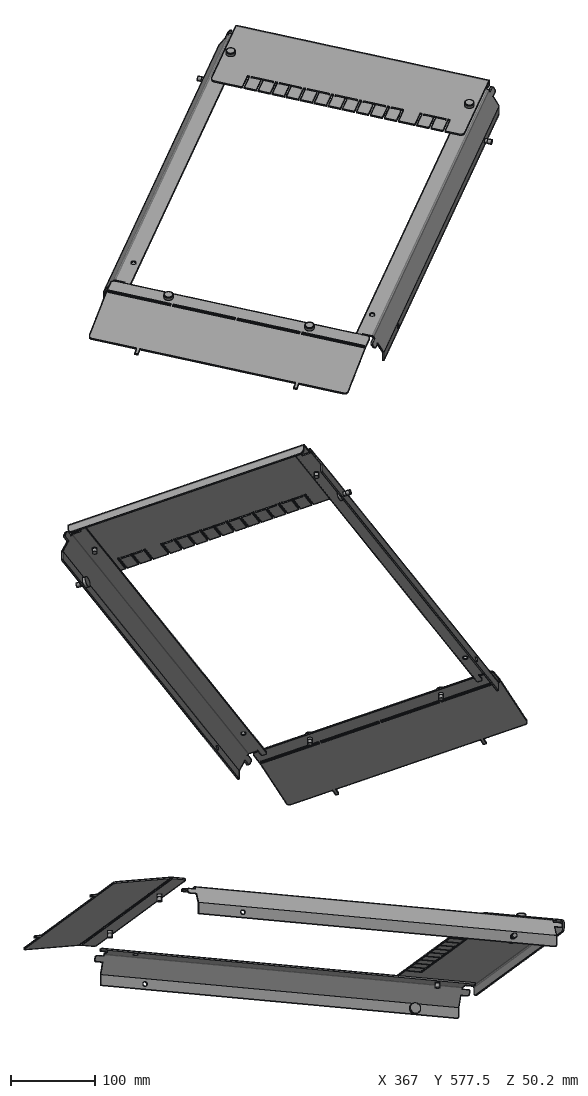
import cadquery as cq
import math

SHEET = 2.0
OVERALL_LENGTH = 577.45
OVERALL_HEIGHT = 50.25

SCREW_DIA = 6.0
SCREW_TIP_DIA = 5.6
SCREW_LENGTH = 15.0
SCREW_TIP_LENGTH = 5.0
HEAD_DIA = 11.4
HEAD_HEIGHT = 4.8
HEAD_CHAMFER = 0.8

RAIL_LENGTH = 452.0
RAIL_TOP = 36.5
RAIL_INNER_X = 141.0
RAIL_OUTER_X = 175.0
RAIL_SKIRT = 13.5
RAIL_LEAN = 30.0
RAIL_CORNER = 2.0
RAIL_BEND_INSIDE = 0.3
RAIL_HOLE_X = 149.0
RAIL_HOLE_Y = 190.5

TAB_LENGTH = 10.4
TAB_ROUND = 2.0
TOP_TAB_WIDTH = 7.5
SIDE_TAB_LOW = 26.5
SIDE_TAB_HIGH = 33.0

PIN_Y = 170.0
PIN_Z = 6.6
PIN_DIA = 5.4
PIN_TIP_DIA = 5.8
PIN_END_X = 183.5
PIN_TIP_LENGTH = 5.0
PIN_HEAD_DIA = 13.0
PIN_HEAD_THICKNESS = 3.8

PLATE_WIDTH = 316.0
PLATE_REAR_Y = 241.5
PLATE_FRONT_Y = 139.0
PLATE_TOP = RAIL_TOP + SHEET
PLATE_FLANGE_BOTTOM = 24.6
PLATE_CORNER = 5.0
PLATE_BEND_INSIDE = 1.5

FINGER_PITCH = 17.5
FINGER_SLOT_WIDTH = 2.4
FINGER_LENGTH = 19.7
FINGER_BRIDGE = 2.5
SLOT_GROUPS = ((-117.0, 12), (98.5, 3))

FLAP_WIDTH = 323.0
FLAP_REAR_Y = -237.0
FLAP_BEND_Y = -256.0
FLAP_END_Y = -328.0
FLAP_TAB_END_Y = PLATE_REAR_Y - OVERALL_LENGTH
FLAP_SLOPE = 9.7
FLAP_TOP = OVERALL_HEIGHT - HEAD_HEIGHT
FLAP_CORNER = 4.0
FLAP_TAB_X = 99.2
FLAP_TAB_WIDTH = 4.0
FLAP_SCREW_X = 88.0
FLAP_SCREW_Y = -244.7
FLAP_SLITS = 4
FLAP_SLIT_WIDTH = 3.5
FLAP_BRIDGE = 3.0
FLAP_SLIT_MARGIN = 2.0


def box(x0, x1, y0, y1, z0, z1):
    """Axis-aligned box between the given limits."""
    return cq.Workplane("XY").box(x1 - x0, y1 - y0, z1 - z0, centered=False).translate((x0, y0, z0))


def cylinder(x, y, z0, z1, diameter):
    """Upright cylinder from z0 to z1."""
    return cq.Workplane("XY", origin=(x, y, z0)).circle(diameter / 2).extrude(z1 - z0)


def mirrored(body):
    """The copy of a left-hand body on the right-hand side."""
    return body.mirror("YZ")


def make_rail():
    """Left rail: level top strip, leaning side and upright skirt, with two tabs at each end."""
    lean = math.radians(RAIL_LEAN)
    top_bend_x = -RAIL_OUTER_X + (RAIL_TOP - RAIL_SKIRT) * math.tan(lean)
    inner_top_x = top_bend_x + SHEET * math.tan((math.pi / 2 - lean) / 2)
    inner_skirt_z = RAIL_SKIRT - SHEET * math.tan(lean / 2)
    half = RAIL_LENGTH / 2
    reach = half + TAB_LENGTH
    rail = (
        cq.Workplane("XZ", origin=(0, reach, 0))
        .moveTo(-RAIL_INNER_X, RAIL_TOP)
        .lineTo(top_bend_x, RAIL_TOP)
        .lineTo(-RAIL_OUTER_X, RAIL_SKIRT)
        .lineTo(-RAIL_OUTER_X, 0)
        .lineTo(-RAIL_OUTER_X + SHEET, 0)
        .lineTo(-RAIL_OUTER_X + SHEET, inner_skirt_z)
        .lineTo(inner_top_x, RAIL_TOP - SHEET)
        .lineTo(-RAIL_INNER_X, RAIL_TOP - SHEET)
        .close()
        .extrude(2 * reach)
    )
    outer_bend = cq.selectors.NearestToPointSelector((top_bend_x, 0, RAIL_TOP))
    rail = rail.edges(outer_bend).fillet(RAIL_BEND_INSIDE + SHEET)
    inner_bend = cq.selectors.NearestToPointSelector((inner_top_x, 0, RAIL_TOP - SHEET))
    rail = rail.edges(inner_bend).fillet(RAIL_BEND_INSIDE)

    for end, tip in ((1, ">Y"), (-1, "<Y")):
        near, far = sorted((end * half, end * reach))
        waste = box(-RAIL_OUTER_X, -RAIL_INNER_X, near, far, 0, RAIL_TOP)
        top_tab = box(
            -RAIL_INNER_X - TOP_TAB_WIDTH, -RAIL_INNER_X, near, far, RAIL_TOP - SHEET, RAIL_TOP
        )
        side_tab = box(-RAIL_OUTER_X, inner_top_x, near, far, SIDE_TAB_LOW, SIDE_TAB_HIGH)
        waste = waste.cut(top_tab.faces(tip).edges("|Z").fillet(TAB_ROUND))
        waste = waste.cut(side_tab.faces(tip).edges("|X").fillet(TAB_ROUND))
        rail = rail.cut(waste)
        rail = rail.cut(cylinder(-RAIL_HOLE_X, end * RAIL_HOLE_Y, 0, RAIL_TOP, SCREW_DIA))
        pin_hole = cq.Workplane("YZ", origin=(-RAIL_OUTER_X, end * PIN_Y, PIN_Z))
        rail = rail.cut(pin_hole.circle(PIN_DIA / 2).extrude(SHEET))
    rear_bottom_corner = cq.selectors.NearestToPointSelector((-RAIL_OUTER_X + SHEET / 2, half, 0))
    return rail.edges(rear_bottom_corner).fillet(RAIL_CORNER)


def make_pin():
    """Left pin: stepped shank through the skirt, with a flat head against its inner face."""
    end = cq.Workplane("YZ", origin=(-PIN_END_X, PIN_Y, PIN_Z))
    skirt_inner_x = -RAIL_OUTER_X + SHEET
    tip = end.circle(PIN_TIP_DIA / 2).extrude(PIN_TIP_LENGTH)
    shank = (
        end.workplane(offset=PIN_TIP_LENGTH)
        .circle(PIN_DIA / 2)
        .extrude(skirt_inner_x + PIN_END_X - PIN_TIP_LENGTH)
    )
    head = (
        end.workplane(offset=skirt_inner_x + PIN_END_X)
        .circle(PIN_HEAD_DIA / 2)
        .extrude(PIN_HEAD_THICKNESS)
    )
    return tip.union(shank).union(head)


def make_screw(x, y, seat_z):
    """Screw with a chamfered round head resting on seat_z and a slightly stepped shank."""
    head_top = seat_z + HEAD_HEIGHT
    shank_end = head_top - SCREW_LENGTH
    head = cylinder(x, y, seat_z, head_top, HEAD_DIA).faces(">Z").chamfer(HEAD_CHAMFER)
    shank = cylinder(x, y, shank_end + SCREW_TIP_LENGTH, seat_z, SCREW_DIA)
    tip = cylinder(x, y, shank_end, shank_end + SCREW_TIP_LENGTH, SCREW_TIP_DIA)
    return head.union(shank).union(tip)


def make_rear_plate():
    """Level plate with a downturned rear flange and a row of fingers along its front edge."""
    half = PLATE_WIDTH / 2
    plate = box(-half, half, PLATE_FRONT_Y, PLATE_REAR_Y, PLATE_FLANGE_BOTTOM, PLATE_TOP)
    plate = plate.edges(">Y and >Z").fillet(PLATE_BEND_INSIDE + SHEET)
    below = box(
        -half, half, PLATE_FRONT_Y, PLATE_REAR_Y - SHEET, PLATE_FLANGE_BOTTOM, PLATE_TOP - SHEET
    )
    plate = plate.cut(below.edges(">Y and >Z").fillet(PLATE_BEND_INSIDE))
    plate = plate.edges("|Z and <Y").fillet(PLATE_CORNER)
    plate = plate.edges("|Y and <Z").fillet(PLATE_CORNER)

    finger_root_y = PLATE_FRONT_Y + FINGER_LENGTH
    slit_reach = FINGER_PITCH - FINGER_SLOT_WIDTH / 2 - FINGER_BRIDGE
    for first_x, count in SLOT_GROUPS:
        last_x = first_x + (count - 1) * FINGER_PITCH
        for i in range(count):
            x = first_x + i * FINGER_PITCH
            slot = box(
                x - FINGER_SLOT_WIDTH / 2, x + FINGER_SLOT_WIDTH / 2,
                PLATE_FRONT_Y, finger_root_y + SHEET / 2, 0, PLATE_TOP,
            )
            plate = plate.cut(slot)
            if i % 2 == 1:
                slit = box(
                    x - slit_reach, min(x + slit_reach, last_x),
                    finger_root_y - SHEET / 2, finger_root_y + SHEET / 2, 0, PLATE_TOP,
                )
                plate = plate.cut(slit)
    for x in (-RAIL_HOLE_X, RAIL_HOLE_X):
        plate = plate.cut(cylinder(x, RAIL_HOLE_Y, 0, PLATE_TOP, SCREW_DIA))
    return plate


def make_flap():
    """Flap with a level rear strip, a slit bend line, and a sloping front with two end tabs."""
    half = FLAP_WIDTH / 2
    slope = math.tan(math.radians(FLAP_SLOPE))
    end_z = FLAP_TOP - (FLAP_BEND_Y - FLAP_TAB_END_Y) * slope
    drop = SHEET / math.cos(math.radians(FLAP_SLOPE))
    inner_bend_y = FLAP_BEND_Y - SHEET * math.tan(math.radians(FLAP_SLOPE / 2))
    bent_sheet = (
        cq.Workplane("YZ", origin=(-half, 0, 0))
        .moveTo(FLAP_REAR_Y, FLAP_TOP)
        .lineTo(FLAP_BEND_Y, FLAP_TOP)
        .lineTo(FLAP_TAB_END_Y, end_z)
        .lineTo(FLAP_TAB_END_Y, end_z - drop)
        .lineTo(inner_bend_y, FLAP_TOP - SHEET)
        .lineTo(FLAP_REAR_Y, FLAP_TOP - SHEET)
        .close()
        .extrude(FLAP_WIDTH)
    )
    outline = box(-half, half, FLAP_END_Y, FLAP_REAR_Y, 0, FLAP_TOP).edges("|Z").fillet(FLAP_CORNER)
    for x in (-FLAP_TAB_X, FLAP_TAB_X):
        tab = box(
            x - FLAP_TAB_WIDTH / 2, x + FLAP_TAB_WIDTH / 2, FLAP_TAB_END_Y, FLAP_BEND_Y, 0, FLAP_TOP
        )
        outline = outline.union(tab)
    flap = bent_sheet.intersect(outline)

    slit_span = FLAP_WIDTH - 2 * FLAP_SLIT_MARGIN
    slit_length = (slit_span - (FLAP_SLITS - 1) * FLAP_BRIDGE) / FLAP_SLITS
    for i in range(FLAP_SLITS):
        x0 = -slit_span / 2 + i * (slit_length + FLAP_BRIDGE)
        slit = box(
            x0, x0 + slit_length,
            FLAP_BEND_Y - FLAP_SLIT_WIDTH / 2, FLAP_BEND_Y + FLAP_SLIT_WIDTH / 2, 0, FLAP_TOP,
        )
        flap = flap.cut(slit)
    for x in (-FLAP_SCREW_X, FLAP_SCREW_X):
        flap = flap.cut(cylinder(x, FLAP_SCREW_Y, 0, FLAP_TOP, SCREW_DIA))
    return flap


left_rail = make_rail()
left_pin = make_pin()
rear_plate = make_rear_plate()
flap = make_flap()

bodies = [left_rail, mirrored(left_rail), left_pin, mirrored(left_pin), rear_plate, flap]
for side in (-1, 1):
    bodies.append(make_screw(side * RAIL_HOLE_X, RAIL_HOLE_Y, PLATE_TOP))
    bodies.append(make_screw(side * FLAP_SCREW_X, FLAP_SCREW_Y, FLAP_TOP))

result = cq.Compound.makeCompound([body.val() for body in bodies])